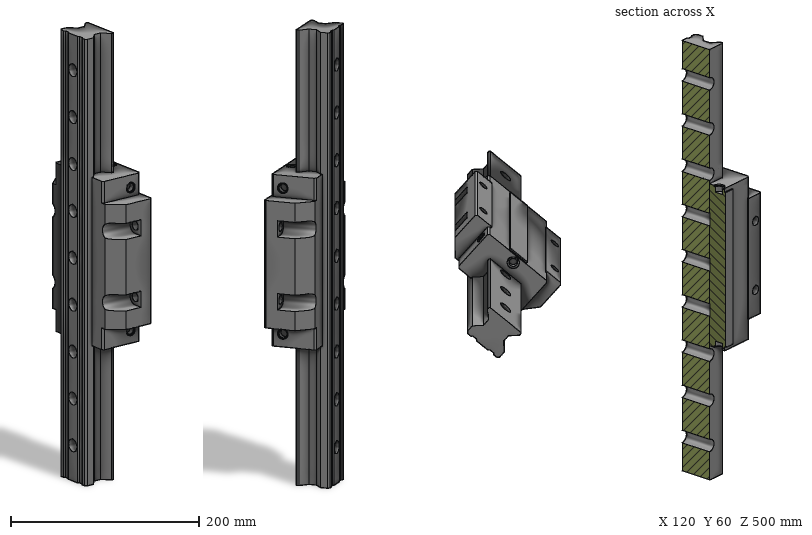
import cadquery as cq

rail_length = 500.0
rail_width = 45.0
rail_bottom_y = -30.0
rail_height = 38.0
rail_top_y = rail_bottom_y + rail_height
rail_half = rail_width / 2
foot_chamfer = 2.0
foot_top_y = -20.0
neck_half = 14.0
neck_bottom_y = -12.0
neck_top_y = -3.5
head_bottom_y = 4.5
head_chamfer = 1.0
foot_groove_x = 12.0
foot_groove_width = 8.0
foot_groove_floor_width = 5.0
foot_groove_depth = 1.5
rail_hole_count = 9
rail_hole_pitch = 52.5
rail_hole_diameter = 14.0

carriage_width = 120.0
carriage_top_y = 30.0
carriage_bottom_y = -22.0
carriage_half = carriage_width / 2
carriage_height = carriage_top_y - carriage_bottom_y
block_length = 140.0
carriage_length = 188.5
flange_chamfer_width = 15.0
flange_chamfer_height = 17.0
top_chamfer = 2.0
cap_top_y = 28.5
flange_top_x = 38.0
pad_width = 24.0
pad_length = 180.0
cap_width = 83.0
cap_chamfer = 2.0

bolt_x = 50.0
bolt_z = 40.0
bolt_hole_diameter = 10.0
bolt_seat_width = 18.0
bolt_seat_y = 15.0

port_depth = 7.5
port_rim_depth = 1.5
end_port_y = 20.5
end_port_diameter = 9.0
end_port_rim_diameter = 13.0
side_port_y = 16.0
side_port_z = 80.0
side_port_diameter = 9.0
side_port_rim_diameter = 11.5


def box(x_min, x_max, y_min, y_max, length):
    """Bar along Z, centred on Z = 0."""
    return cq.Workplane("XY").box(x_max - x_min, y_max - y_min, length).translate(
        ((x_min + x_max) / 2, (y_min + y_max) / 2, 0)
    )


def rail_blank():
    """Rail section as a full bar, without grooves or holes."""
    return (
        cq.Workplane("XY")
        .workplane(offset=-rail_length / 2)
        .moveTo(0, rail_bottom_y)
        .lineTo(rail_half - foot_chamfer, rail_bottom_y)
        .lineTo(rail_half, rail_bottom_y + foot_chamfer)
        .lineTo(rail_half, foot_top_y)
        .lineTo(neck_half, neck_bottom_y)
        .lineTo(neck_half, neck_top_y)
        .lineTo(rail_half, head_bottom_y)
        .lineTo(rail_half, rail_top_y - head_chamfer)
        .lineTo(rail_half - head_chamfer, rail_top_y)
        .lineTo(0, rail_top_y)
        .mirrorY()
        .extrude(rail_length)
    )


def foot_groove(x):
    """Full-length groove under the foot, with sloping walls."""
    floor_y = rail_bottom_y + foot_groove_depth
    return (
        cq.Workplane("XY", origin=(x, 0, -rail_length / 2))
        .moveTo(-foot_groove_width / 2, rail_bottom_y)
        .lineTo(foot_groove_width / 2, rail_bottom_y)
        .lineTo(foot_groove_floor_width / 2, floor_y)
        .lineTo(-foot_groove_floor_width / 2, floor_y)
        .close()
        .extrude(rail_length)
    )


def make_rail():
    rail = rail_blank()
    for side in (-1, 1):
        rail = rail.cut(foot_groove(side * foot_groove_x))
    holes = (
        cq.Workplane("XZ", origin=(0, rail_top_y, 0))
        .rarray(5, rail_hole_pitch, 1, rail_hole_count)
        .circle(rail_hole_diameter / 2)
        .extrude(rail_height)
    )
    return rail.cut(holes)


def carriage_block():
    """Flanged middle block with chamfered flanges and a lower middle between their tops."""
    return (
        cq.Workplane("XY")
        .workplane(offset=-block_length / 2)
        .moveTo(0, carriage_bottom_y)
        .lineTo(carriage_half - flange_chamfer_width, carriage_bottom_y)
        .lineTo(carriage_half, carriage_bottom_y + flange_chamfer_height)
        .lineTo(carriage_half, carriage_top_y - top_chamfer)
        .lineTo(carriage_half - top_chamfer, carriage_top_y)
        .lineTo(flange_top_x, carriage_top_y)
        .lineTo(flange_top_x, cap_top_y)
        .lineTo(0, cap_top_y)
        .mirrorY()
        .extrude(block_length)
    )


def end_caps():
    """Both end caps, as one bar running through the block."""
    bar = box(-cap_width / 2, cap_width / 2, carriage_bottom_y, cap_top_y, carriage_length)
    return bar.edges("|Z").chamfer(cap_chamfer)


def top_pad():
    """Thin raised pad along the middle of the block and caps."""
    return box(-pad_width / 2, pad_width / 2, cap_top_y, carriage_top_y, pad_length)


def bolt_cutter(side, z):
    """Bolt hole and its U-shaped seat in one flange."""
    hole = (
        cq.Workplane("XZ", origin=(side * bolt_x, carriage_top_y, z))
        .circle(bolt_hole_diameter / 2)
        .extrude(carriage_height)
    )
    seat_depth = bolt_seat_y - carriage_bottom_y
    seat = cq.Workplane("XZ", origin=(side * bolt_x, bolt_seat_y, z))
    round_end = seat.circle(bolt_seat_width / 2).extrude(seat_depth)
    mouth = (
        seat.center(side * (carriage_half - bolt_x) / 2, 0)
        .rect(carriage_half - bolt_x, bolt_seat_width)
        .extrude(seat_depth)
    )
    return hole.union(round_end).union(mouth)


def port(face, inward, diameter, rim_diameter):
    """Blind grease port cut from a cap face; inward is the sign of the cutting direction."""
    rim = face.circle(rim_diameter / 2).extrude(inward * port_rim_depth)
    return rim.union(face.circle(diameter / 2).extrude(inward * port_depth))


def end_port(end):
    """Port in the outer face of one end cap."""
    face = cq.Workplane("XY", origin=(0, end_port_y, end * carriage_length / 2))
    return port(face, -end, end_port_diameter, end_port_rim_diameter)


def side_port(side, end):
    """Port in the side of one end cap."""
    face = cq.Workplane("YZ", origin=(side * cap_width / 2, side_port_y, end * side_port_z))
    return port(face, -side, side_port_diameter, side_port_rim_diameter)


def make_carriage():
    carriage = carriage_block().union(end_caps()).union(top_pad()).cut(rail_blank())
    for end in (-1, 1):
        carriage = carriage.cut(end_port(end))
        for side in (-1, 1):
            carriage = carriage.cut(bolt_cutter(side, end * bolt_z))
            carriage = carriage.cut(side_port(side, end))
    return carriage


rail = make_rail()
carriage = make_carriage()

result = cq.Compound.makeCompound([rail.val(), carriage.val()])